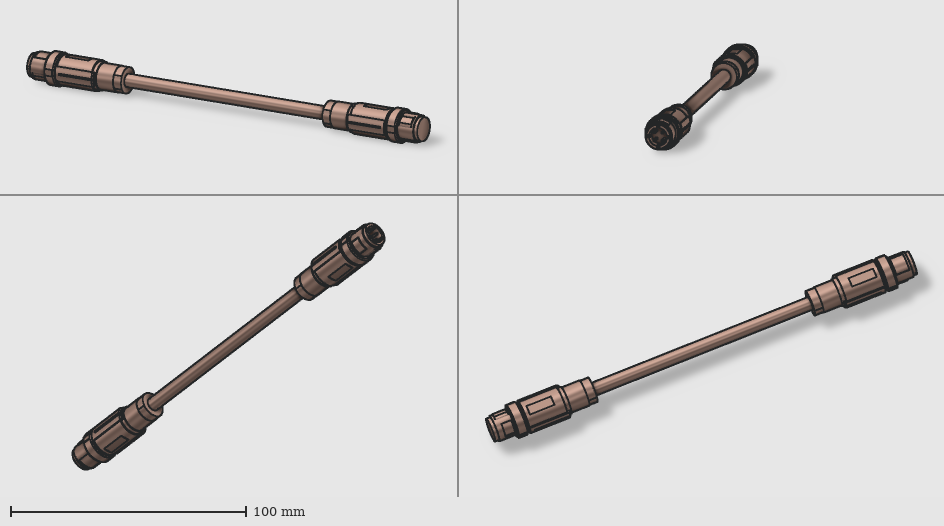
import cadquery as cq
import math

total_length = 194.6
cable_radius = 3.0
join_depth = 1.0

rim_end = 1.8
collar_start = 9.5
collar_end = 14.5
grip_start = 15.4
grip_end = 32.9
wing_end = 34.0
shoulder_end = 34.8
sleeve_start = 43.2
plug_length = 47.0

rim_radius = 5.3
nose_radius = 5.8
collar_radius = 7.4
waist_radius = 6.6
grip_radius = 6.8
shoulder_radius = 6.2
neck_radius = 5.8
side_reach = 7.5

collar_chamfer = 0.5

socket_radius = 3.9
socket_depth = 5.8
keyway_width = 1.2
keyway_reach = 4.7
keyway_depth = 3.0
pin_radius = 0.49
pin_offset = 1.8
pin_length = 4.9

pad_radius = 6.2
pad_end = 9.0
latch_pads = [
    (50.0, 130.0, 0.0, 3.0),
    (197.0, 250.0, 12.0, 3.0),
    (280.0, 340.0, 0.0, 4.5),
]

key_start = 10.0
key_end = 13.8
key_width = 3.0

wing_half_height = 3.3
wing_half_angle = math.degrees(math.asin(wing_half_height / side_reach))
wing_chamfer = 0.5
groove_start = 17.3
groove_width = 0.5
groove_depth = 0.4

label_start = 17.3
label_end = 28.6
label_width = 4.0

panel_half_angle = 32.0
panel_relief = 0.12


def block(start, end, y_size, z_size, y_centre=0.0, z_centre=0.0):
    """Box spanning two stations along X."""
    centre = ((start + end) / 2, y_centre, z_centre)
    return cq.Workplane("XY").box(end - start, y_size, z_size).translate(centre)


def rod(start, end, radius):
    """Round bar on the X axis between two stations."""
    return cq.Workplane("YZ").workplane(offset=start).circle(radius).extrude(end - start)


def sector(profile, start_angle, end_angle):
    """Part of a turned ring: a closed (station, radius) profile swept about X."""
    ring = cq.Workplane("XY").polyline(profile).close()
    ring = ring.revolve(end_angle - start_angle, (0, 0, 0), (1, 0, 0))
    return ring.rotate((0, 0, 0), (1, 0, 0), start_angle)


def ring_profile(start, end, inner, outer):
    return [(start, inner), (end, inner), (end, outer), (start, outer)]


def turned_body():
    sleeve_radius = neck_radius - panel_relief
    collar_shoulder = collar_radius - collar_chamfer
    outline = (
        cq.Workplane("XY")
        .moveTo(0, 0)
        .lineTo(0, rim_radius)
        .lineTo(rim_end, rim_radius)
        .lineTo(rim_end, nose_radius)
        .lineTo(collar_start, nose_radius)
        .lineTo(collar_start, collar_shoulder)
        .lineTo(collar_start + collar_chamfer, collar_radius)
        .lineTo(collar_end - collar_chamfer, collar_radius)
        .lineTo(collar_end, collar_shoulder)
        .lineTo(collar_end, waist_radius)
        .lineTo(grip_start, waist_radius)
        .lineTo(grip_start, grip_radius)
        .lineTo(grip_end, grip_radius)
        .lineTo(grip_end, shoulder_radius)
        .lineTo(shoulder_end, shoulder_radius)
        .lineTo(shoulder_end, neck_radius)
        .lineTo(sleeve_start, neck_radius)
        .lineTo(sleeve_start, sleeve_radius)
        .lineTo(plug_length, sleeve_radius)
        .lineTo(plug_length, 0)
        .close()
    )
    return outline.revolve(360, (0, 0, 0), (1, 0, 0))


def polar(radius, angle):
    """Point in the YZ plane at an angle from +Y toward +Z."""
    turn = math.radians(angle)
    return (radius * math.cos(turn), radius * math.sin(turn))


def latch_pad(start_angle, end_angle, ramp_angle, pad_start):
    """Curved pad whose lengthwise sides fall to the nose over the ramp angle."""
    middle_angle = (start_angle + end_angle) / 2
    pad = (
        cq.Workplane("YZ")
        .workplane(offset=pad_start)
        .moveTo(*polar(nose_radius, start_angle))
        .lineTo(*polar(pad_radius, start_angle + ramp_angle))
        .threePointArc(polar(pad_radius, middle_angle), polar(pad_radius, end_angle - ramp_angle))
        .lineTo(*polar(nose_radius, end_angle))
        .lineTo(*polar(rim_radius, end_angle))
        .threePointArc(polar(rim_radius, middle_angle), polar(rim_radius, start_angle))
        .close()
    )
    return pad.extrude(pad_end - pad_start)


def add_latch_pads(body):
    for pad in latch_pads:
        body = body.union(latch_pad(*pad))
    return body


def add_collar_keys(body):
    return body.union(block(key_start, key_end, 2 * side_reach, key_width))


def add_wings(body):
    wing_root = shoulder_radius - join_depth
    profile = [
        (grip_start, wing_root),
        (wing_end, wing_root),
        (wing_end, side_reach - wing_chamfer),
        (wing_end - wing_chamfer, side_reach),
        (grip_start, side_reach),
    ]
    for side_angle in (0, 180):
        wing = sector(profile, side_angle - wing_half_angle, side_angle + wing_half_angle)
        body = body.union(wing)
    for side in (1, -1):
        y_centre = side * side_reach
        body = body.cut(block(groove_start, wing_end, 2 * groove_depth, groove_width, y_centre))
    return body


def cut_labels(body):
    floor_height = math.sqrt(grip_radius**2 - (label_width / 2) ** 2)
    for side in (1, -1):
        depth = collar_radius - floor_height
        z_centre = side * (floor_height + depth / 2)
        body = body.cut(block(label_start, label_end, label_width, depth, 0, z_centre))
    return body


def cut_sleeve_panels(body):
    panel_floor = neck_radius - 2 * panel_relief
    panel = ring_profile(sleeve_start, plug_length, panel_floor, neck_radius)
    for side_angle in (0, 180):
        body = body.cut(sector(panel, side_angle - panel_half_angle, side_angle + panel_half_angle))
    return body


def cut_socket(body):
    body = body.cut(rod(0, socket_depth, socket_radius))
    body = body.cut(block(0, keyway_depth, 2 * keyway_reach, keyway_width))
    body = body.cut(block(0, keyway_depth, keyway_width, 2 * keyway_reach))
    for y in (pin_offset, -pin_offset):
        for z in (pin_offset, -pin_offset):
            pin = rod(socket_depth - pin_length, socket_depth + join_depth, pin_radius)
            body = body.union(pin.translate((0, y, z)))
    return body


def closed_plug():
    body = turned_body()
    body = add_latch_pads(body)
    body = add_collar_keys(body)
    body = add_wings(body)
    body = cut_labels(body)
    return cut_sleeve_panels(body)


tip = -total_length / 2
plug = closed_plug()
left_plug = cut_socket(plug).translate((tip, 0, 0))
right_plug = plug.translate((tip, 0, 0)).rotate((0, 0, 0), (0, 1, 0), 180)
cable_end = total_length / 2 - plug_length + join_depth
cable = rod(-cable_end, cable_end, cable_radius)

result = left_plug.union(cable).union(right_plug)